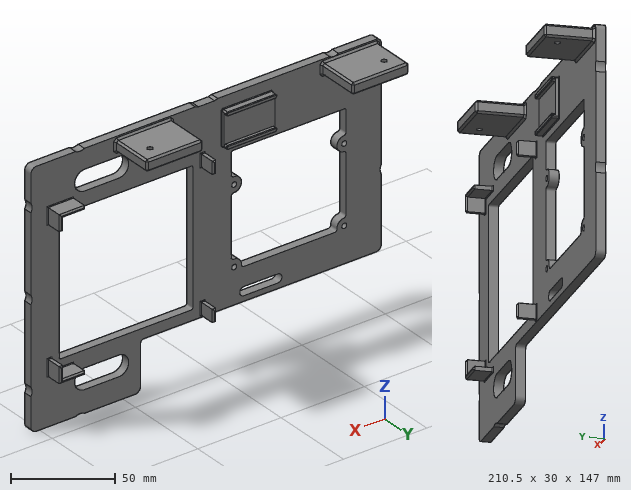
import cadquery as cq

length = 210.5
height = 147.0
plate_thickness = 5.0
main_bottom = 29.0
leg_left = 144.6
corner_radius = 3.4
step_radius = 1.9

notch_radius = 5.0
notch_depth = 0.74
notch_columns = (28.5, 181.0)
left_notch_rows = (73.9, 124.8)
right_notch_rows = (23.0, 73.9, 124.8)
recess_center = 105.0
recess_length = 13.5
recess_floor_length = 9.7
recess_depth = 0.6

window_top = 115.0
window_radius = 1.0
left_window_start = 21.3
left_window_end = 90.0
left_window_bottom = 48.5
right_window_start = 113.3
right_window_end = 193.5
right_window_bottom = 35.2

lug_columns = (22.3, 88.5)
lug_rows = (50.0, 95.8)
lug_centers = [(x, z) for x in lug_columns for z in lug_rows]
lug_radius = 4.5
lug_fillet = 1.5
screw_diameter = 3.0

large_slot_center = 168.0
large_slot_rows = (19.2, 129.3)
large_slot_length = 32.5
large_slot_width = 12.0
small_slot_center = 72.5
small_slot_row = 34.7
small_slot_length = 25.3
small_slot_width = 5.0

depth = 30.0
bracket_length = 33.9
bracket_lefts = (2.0, 125.9)
bracket_top = height - 1.9
bracket_thickness = 6.5
bracket_hole_columns = (10.5, 151.2)
bracket_hole_y = 21.3
bracket_chamfer = 1.0
bracket_foot = 1.0
small_foot = 0.5

rib_back = 15.0
rib_thickness = 2.0
rib_gap = 4.8
rib_leg_length = 15.2
rib_overlap = 2.5
rib_chamfer = 0.8

channel_left = 65.5
channel_length = 30.5
channel_top = 140.0
channel_bottom = 119.2
channel_base_back = 7.0
channel_lip_back = 9.0
channel_lip_thickness = 2.3
channel_corner_chamfer = 0.8
lip_chamfer = 0.5


def box(x_start, x_end, y_start, y_end, z_start, z_end):
    """Box between two opposite corners."""
    size = (x_end - x_start, y_end - y_start, z_end - z_start)
    return cq.Workplane("XY").box(*size, centered=False).translate((x_start, y_start, z_start))


def front_face(origin_x=0, origin_z=0):
    """Workplane on the front of the plate; a negative extrusion runs back through it."""
    return cq.Workplane("XZ", origin=(origin_x, 0, origin_z))


def plate():
    """Rounded plate with a leg at the lower right."""
    main = box(0, length, 0, plate_thickness, main_bottom, height).edges("|Y").fillet(corner_radius)
    leg = box(leg_left, length, 0, plate_thickness, 0, height).edges("|Y").fillet(corner_radius)
    step = cq.selectors.NearestToPointSelector((leg_left, plate_thickness / 2, main_bottom))
    return main.union(leg).edges("|Y").edges(step).fillet(step_radius)


def rim_notch(x, z, outward_x, outward_z):
    """Shallow round groove that bites into the rim at a point of it."""
    offset = notch_radius - notch_depth
    return (
        front_face(x + outward_x * offset, z + outward_z * offset)
        .circle(notch_radius)
        .extrude(-plate_thickness)
    )


def rim_cuts():
    """All round notches and the long shallow recess in the top edge."""
    floor = height - recess_depth
    start = recess_center - recess_length / 2
    end = recess_center + recess_length / 2
    floor_start = recess_center - recess_floor_length / 2
    floor_end = recess_center + recess_floor_length / 2
    recess = [(start, height), (floor_start, floor), (floor_end, floor), (end, height)]
    cuts = front_face().polyline(recess).close().extrude(-plate_thickness)
    for x in notch_columns:
        cuts = cuts.add(rim_notch(x, height, 0, 1))
    cuts = cuts.add(rim_notch(notch_columns[-1], 0, 0, -1))
    for z in left_notch_rows:
        cuts = cuts.add(rim_notch(0, z, -1, 0))
    for z in right_notch_rows:
        cuts = cuts.add(rim_notch(length, z, 1, 0))
    return cuts.combine()


def lug_cylinders(radius):
    """Cylinders through the plate at the four lug centers."""
    return front_face().pushPoints(lug_centers).circle(radius).extrude(-plate_thickness)


def left_window():
    """Window narrowed by four round screw lugs, with every corner rounded."""
    opening = box(left_window_start, left_window_end, 0, plate_thickness, left_window_bottom, window_top)
    opening = opening.cut(lug_cylinders(lug_radius))
    opening = opening.edges("|Y").edges(">Z").fillet(window_radius)
    lug_corners = cq.selectors.BoxSelector(
        (left_window_start - lug_radius, 0, left_window_bottom - lug_radius),
        (left_window_end + lug_radius, plate_thickness, window_top - lug_radius),
    )
    return opening.edges("|Y").edges(lug_corners).fillet(lug_fillet)


def right_window():
    """Plain window with rounded corners."""
    opening = box(right_window_start, right_window_end, 0, plate_thickness, right_window_bottom, window_top)
    return opening.edges("|Y").fillet(window_radius)


def slot(center_x, center_z, slot_length, slot_width):
    """Horizontal slot with round ends."""
    return front_face(center_x, center_z).slot2D(slot_length, slot_width).extrude(-plate_thickness)


def bracket(left, hole_x):
    """Horizontal tab with chamfered edges and a vertical screw hole."""
    right = left + bracket_length
    bottom = bracket_top - bracket_thickness
    tab = box(left, right, plate_thickness, depth, bottom, bracket_top)
    tab = tab.faces("not(<Y)").edges("not(<Y)").chamfer(bracket_chamfer)
    hole = (
        cq.Workplane("XY", origin=(hole_x, bracket_hole_y, 0))
        .circle(screw_diameter / 2)
        .extrude(height)
    )
    return tab.cut(hole)


def ribs():
    """Two upright ribs on the left and two corner-shaped ribs on the right of the window."""
    outer_left = right_window_start - rib_gap - rib_thickness
    outer_right = right_window_end + rib_gap + rib_thickness
    outer_top = window_top + rib_gap + rib_thickness
    outer_bottom = right_window_bottom - rib_gap - rib_thickness
    upright_spans = (
        (window_top - rib_overlap, outer_top - rib_thickness),
        (outer_bottom + rib_thickness, right_window_bottom + rib_overlap),
    )
    leg_bottoms = (outer_top - rib_thickness, outer_bottom)
    pieces = []
    for (low, high), leg_bottom in zip(upright_spans, leg_bottoms):
        post = box(outer_left, outer_left + rib_thickness, plate_thickness, rib_back, low, high)
        pieces.append(post.faces(">Y").chamfer(rib_chamfer))
        upright = box(outer_right - rib_thickness, outer_right, plate_thickness, rib_back, low, high)
        leg = box(outer_right - rib_leg_length, outer_right, plate_thickness, rib_back,
                  leg_bottom, leg_bottom + rib_thickness)
        pieces.append(upright.union(leg).faces(">Y").chamfer(rib_chamfer))
    return pieces


def channel():
    """Shallow base with a raised lip along its top and bottom."""
    right = channel_left + channel_length
    base = box(channel_left, right, plate_thickness, channel_base_back, channel_bottom, channel_top)
    for low in (channel_bottom, channel_top - channel_lip_thickness):
        lip = box(channel_left, right, plate_thickness, channel_lip_back, low, low + channel_lip_thickness)
        base = base.union(lip)
    base = base.edges("|Y").edges("<X or >X").chamfer(channel_corner_chamfer)
    return base.faces(">Y").chamfer(lip_chamfer)


def join_to_plate(body, feature, foot):
    """Join a raised feature to the back of the plate, with a sloping foot around its base."""
    bounds = feature.val().BoundingBox()
    base_edges = cq.selectors.BoxSelector(
        (bounds.xmin - foot, plate_thickness - foot, bounds.zmin - foot),
        (bounds.xmax + foot, plate_thickness + foot, bounds.zmax + foot),
    )
    return body.union(feature).edges(base_edges).edges("#Y").chamfer(foot)


result = plate().cut(rim_cuts()).cut(left_window()).cut(right_window())
for row in large_slot_rows:
    result = result.cut(slot(large_slot_center, row, large_slot_length, large_slot_width))
result = result.cut(slot(small_slot_center, small_slot_row, small_slot_length, small_slot_width))
result = result.cut(lug_cylinders(screw_diameter / 2))

for left_edge, hole_column in zip(bracket_lefts, bracket_hole_columns):
    result = join_to_plate(result, bracket(left_edge, hole_column), bracket_foot)
for rib in ribs():
    result = join_to_plate(result, rib, small_foot)
result = join_to_plate(result, channel(), small_foot)